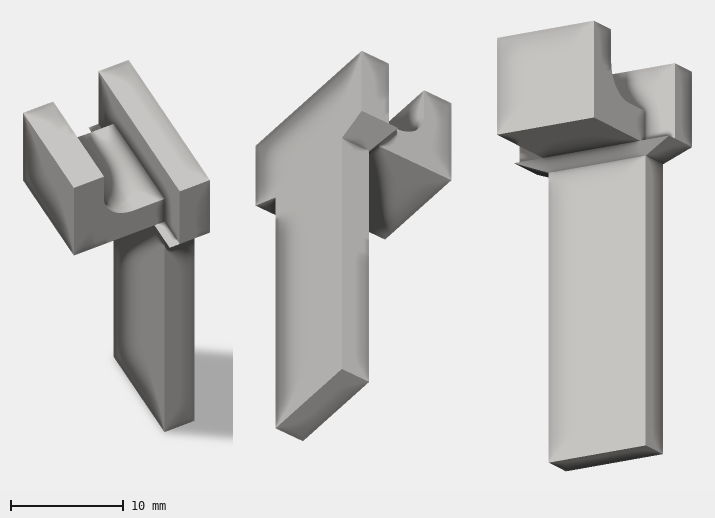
import cadquery as cq

total_height = 37.0
head_width = 16.0
stem_width = 10.0
wall = 3.0
total_depth = 12.0
head_bottom = 28.0
head_top = 35.0
flare_height = 1.1
flare_overhang = 1.0

shoulder_bottom = head_bottom - flare_height


def plate(width, thickness, bottom, top):
    """Upright plate with its back on Y = 0, extending toward -Y."""
    return (
        cq.Workplane("XY", origin=(0, -thickness / 2, bottom))
        .rect(width, thickness)
        .extrude(top - bottom)
    )


stem = plate(stem_width, wall, 0, head_bottom)
head = plate(head_width, wall, head_bottom, head_top)

shoulder_depth = wall + flare_overhang
shoulder = (
    cq.Workplane("XY", origin=(0, -wall / 2, shoulder_bottom))
    .rect(stem_width, wall)
    .workplane(offset=flare_height)
    .center(0, -flare_overhang / 2)
    .rect(head_width, shoulder_depth)
    .loft(ruled=True)
)

arm_top = head_bottom + wall
lip_back = wall - total_depth
corner_radius = wall
hook = (
    cq.Workplane("YZ", origin=(-stem_width / 2, 0, 0))
    .moveTo(0, head_bottom)
    .lineTo(-total_depth, head_bottom)
    .lineTo(-total_depth, total_height)
    .lineTo(lip_back, total_height)
    .lineTo(lip_back, arm_top + corner_radius)
    .radiusArc((lip_back + corner_radius, arm_top), -corner_radius)
    .lineTo(0, arm_top)
    .close()
    .extrude(stem_width)
)

result = stem.union(shoulder).union(head).union(hook)